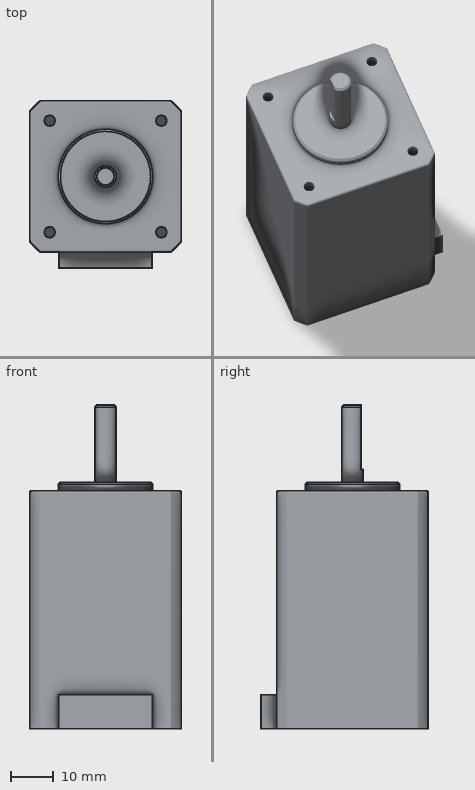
import cadquery as cq

BODY_WIDTH = 35.3
BODY_HEIGHT = 55.5
CORNER_DIAMETER = 46.6
CORNER_EDGE_RADIUS = 0.5
BODY_RIM_RADIUS = 0.5

PILOT_DIAMETER = 22.0
PILOT_HEIGHT = 2.0
PILOT_CHAMFER = 0.5

TOTAL_HEIGHT = 75.5
SHAFT_DIAMETER = 5.0
SHAFT_CHAMFER = 0.5
FLAT_DEPTH = 0.5
FLAT_LENGTH = 15.0

HOLE_SPACING = 26.0
HOLE_DIAMETER = 2.5
HOLE_DEPTH = 4.0

CONNECTOR_WIDTH = 21.7
CONNECTOR_PROJECTION = 3.7
CONNECTOR_HEIGHT = 8.0


def make_body():
    """Square prism with turned corners, softened vertical edges and a rounded top rim."""
    prism = cq.Workplane("XY").rect(BODY_WIDTH, BODY_WIDTH).extrude(BODY_HEIGHT)
    turning = cq.Workplane("XY").circle(CORNER_DIAMETER / 2).extrude(BODY_HEIGHT)
    turned = prism.intersect(turning).edges("|Z").fillet(CORNER_EDGE_RADIUS)
    return turned.faces(">Z").edges().fillet(BODY_RIM_RADIUS)


def make_pilot():
    """Locating disc with a chamfered upper rim."""
    disc = (
        cq.Workplane("XY")
        .workplane(offset=BODY_HEIGHT)
        .circle(PILOT_DIAMETER / 2)
        .extrude(PILOT_HEIGHT)
    )
    return disc.faces(">Z").edges().chamfer(PILOT_CHAMFER)


def make_shaft():
    """Shaft with a chamfered tip and a flat that stops short of the pilot."""
    shaft = (
        cq.Workplane("XY")
        .workplane(offset=BODY_HEIGHT)
        .circle(SHAFT_DIAMETER / 2)
        .extrude(TOTAL_HEIGHT - BODY_HEIGHT)
        .faces(">Z")
        .edges()
        .chamfer(SHAFT_CHAMFER)
    )
    flat_cutter = (
        cq.Workplane("XY")
        .box(SHAFT_DIAMETER, SHAFT_DIAMETER, FLAT_LENGTH, centered=(True, False, False))
        .translate((0, SHAFT_DIAMETER / 2 - FLAT_DEPTH, TOTAL_HEIGHT - FLAT_LENGTH))
    )
    return shaft.cut(flat_cutter)


def make_connector():
    """Plain block standing out from the -Y face."""
    block = cq.Workplane("XY").box(
        CONNECTOR_WIDTH, CONNECTOR_PROJECTION, CONNECTOR_HEIGHT, centered=(True, False, False)
    )
    return block.translate((0, -BODY_WIDTH / 2 - CONNECTOR_PROJECTION, 0))


def make_mounting_holes():
    """Four blind hole cutters sunk from the top of the body."""
    return (
        cq.Workplane("XY")
        .workplane(offset=BODY_HEIGHT)
        .rect(HOLE_SPACING, HOLE_SPACING, forConstruction=True)
        .vertices()
        .circle(HOLE_DIAMETER / 2)
        .extrude(-HOLE_DEPTH)
    )


result = (
    make_body()
    .union(make_pilot())
    .union(make_shaft())
    .union(make_connector())
    .cut(make_mounting_holes())
)